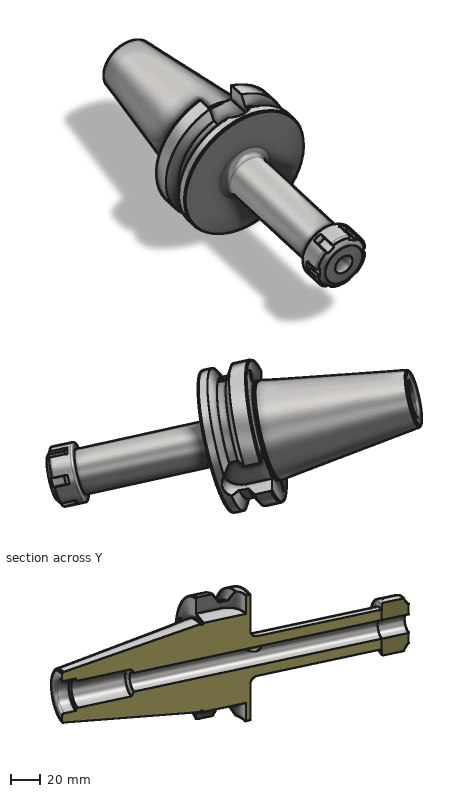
import cadquery as cq
import math

TAPER_LENGTH = 102.2
GAUGE_RADIUS = 35.0
TAPER_SLOPE = 7 / 24 / 2
TAPER_END_RADIUS = GAUGE_RADIUS - TAPER_LENGTH * TAPER_SLOPE
TAPER_END_CHAMFER = 1.0

NECK_LENGTH = 2.5
NECK_RELIEF_WIDTH = 1.5
NECK_LAND = (NECK_LENGTH - NECK_RELIEF_WIDTH) / 2
FLANGE_START = TAPER_LENGTH + NECK_LENGTH
FLANGE_LENGTH = 35.0
FLANGE_END = FLANGE_START + FLANGE_LENGTH
FLANGE_RADIUS = 100.0 / 2
FLANGE_BEVEL_LENGTH = 1.0
FLANGE_BEVEL_DEPTH = 0.5
GROOVE_X = 124.9
GROOVE_ROOT_RADIUS = 42.6
GROOVE_ROOT_HALF_WIDTH = 3.0
GROOVE_RIM_HALF_WIDTH = 7.7

KEY_SLOT_WIDTH = 26.2
KEY_SLOT_END = 136.2
KEY_SLOT_FLOOR_RADIUS = 35.5

STEM_RADIUS = 16.0
STEM_FILLET = 5.1
STEM_END = 236.9

PILOT_RADIUS = 12.5
PILOT_DEPTH = 10.3
PILOT_MOUTH_FILLET = 2.0
THREAD_RADIUS = 10.5
THREAD_CHAMFER = 1.3
THREAD_DEPTH = 51.5
DRILL_POINT_ANGLE = 60
THROUGH_RADIUS = 7.2
DRILL_POINT_END = THREAD_DEPTH + (THREAD_RADIUS - THROUGH_RADIUS) / math.tan(
    math.radians(DRILL_POINT_ANGLE)
)

COOLANT_ANGLES = (20, 200)
COOLANT_HOLE_RADIUS = 3.0
COOLANT_MOUTH_RADIUS = 41.4
COOLANT_TILT = 40
CROSS_HOLE_RADIUS = 2.3

NUT_START = STEM_END
NUT_END = 257.0
NUT_RADIUS = 21.0
NUT_REAR_FILLET = 1.5
NUT_SHOULDER_X = 252.3
NUT_SHOULDER_RADIUS = 1.5
NUT_FACE_RADIUS = 15.5
NUT_FACE_CHAMFER = 0.8

WRENCH_SLOT_WIDTH = 6.5
WRENCH_SLOT_FLOOR_RADIUS = 18.2
WRENCH_SLOT_RAMP = 3.0
LONG_SLOT_START = 240.2
SHORT_SLOT_START = 242.5
LONG_SLOT_ANGLES = (0, 60, 120)
SHORT_SLOT_ANGLES = (180, 240, 300)

X_AXIS = ((0, 0, 0), (1, 0, 0))
CLEARANCE = 2.5


def revolve_about_x(outline):
    return outline.close().revolve(360, *X_AXIS)


def turn_about_x(shape, angle):
    return shape.rotate(*X_AXIS, angle)


def holder_blank():
    """Taper, neck, flange and stem as one turned shape."""
    bevelled_radius = FLANGE_RADIUS - FLANGE_BEVEL_DEPTH
    outline = (
        cq.Workplane("XZ")
        .lineTo(0, TAPER_END_RADIUS - TAPER_END_CHAMFER)
        .lineTo(TAPER_END_CHAMFER, TAPER_END_RADIUS + TAPER_END_CHAMFER * TAPER_SLOPE)
        .lineTo(TAPER_LENGTH, GAUGE_RADIUS)
        .lineTo(TAPER_LENGTH + NECK_LAND, GAUGE_RADIUS)
        .radiusArc((FLANGE_START - NECK_LAND, GAUGE_RADIUS), -NECK_RELIEF_WIDTH / 2)
        .lineTo(FLANGE_START, GAUGE_RADIUS)
        .lineTo(FLANGE_START, bevelled_radius)
        .lineTo(FLANGE_START + FLANGE_BEVEL_LENGTH, FLANGE_RADIUS)
        .lineTo(GROOVE_X - GROOVE_RIM_HALF_WIDTH, FLANGE_RADIUS)
        .lineTo(GROOVE_X - GROOVE_ROOT_HALF_WIDTH, GROOVE_ROOT_RADIUS)
        .lineTo(GROOVE_X + GROOVE_ROOT_HALF_WIDTH, GROOVE_ROOT_RADIUS)
        .lineTo(GROOVE_X + GROOVE_RIM_HALF_WIDTH, FLANGE_RADIUS)
        .lineTo(FLANGE_END - FLANGE_BEVEL_LENGTH, FLANGE_RADIUS)
        .lineTo(FLANGE_END, bevelled_radius)
        .lineTo(FLANGE_END, STEM_RADIUS + STEM_FILLET)
        .radiusArc((FLANGE_END + STEM_FILLET, STEM_RADIUS), -STEM_FILLET)
        .lineTo(STEM_END, STEM_RADIUS)
        .lineTo(STEM_END, 0)
    )
    return revolve_about_x(outline)


def holder_bore():
    """Pilot bore with a rounded mouth, thread bore with a drill point, and through hole."""
    outline = (
        cq.Workplane("XZ")
        .lineTo(0, PILOT_RADIUS + PILOT_MOUTH_FILLET)
        .radiusArc((PILOT_MOUTH_FILLET, PILOT_RADIUS), -PILOT_MOUTH_FILLET)
        .lineTo(PILOT_DEPTH, PILOT_RADIUS)
        .lineTo(PILOT_DEPTH, THREAD_RADIUS + THREAD_CHAMFER)
        .lineTo(PILOT_DEPTH + THREAD_CHAMFER, THREAD_RADIUS)
        .lineTo(THREAD_DEPTH, THREAD_RADIUS)
        .lineTo(DRILL_POINT_END, THROUGH_RADIUS)
        .lineTo(STEM_END, THROUGH_RADIUS)
        .lineTo(STEM_END, 0)
    )
    return revolve_about_x(outline)


def key_slot():
    """Cutter for the slot on the +Z side: open to -X, with a round end."""
    half_width = KEY_SLOT_WIDTH / 2
    return (
        cq.Workplane("XY", origin=(0, 0, KEY_SLOT_FLOOR_RADIUS))
        .moveTo(TAPER_LENGTH, -half_width)
        .lineTo(KEY_SLOT_END - half_width, -half_width)
        .threePointArc((KEY_SLOT_END, 0), (KEY_SLOT_END - half_width, half_width))
        .lineTo(TAPER_LENGTH, half_width)
        .close()
        .extrude(FLANGE_RADIUS)
    )


def coolant_channel():
    """Cutter on the +Y side: an inclined hole to the bore, met by a radial hole from the groove."""
    tilt = math.radians(COOLANT_TILT)
    inward = cq.Vector(math.cos(tilt), -math.sin(tilt), 0)
    mouth = cq.Vector(FLANGE_START, COOLANT_MOUTH_RADIUS, 0)
    length = COOLANT_MOUTH_RADIUS / math.sin(tilt)
    inclined = cq.Solid.makeCylinder(
        COOLANT_HOLE_RADIUS, length + CLEARANCE, mouth - inward * CLEARANCE, inward
    )
    meeting_radius = COOLANT_MOUTH_RADIUS - (GROOVE_X - FLANGE_START) * math.tan(tilt)
    cross = cq.Solid.makeCylinder(
        CROSS_HOLE_RADIUS,
        GROOVE_ROOT_RADIUS + CLEARANCE - meeting_radius,
        cq.Vector(GROOVE_X, meeting_radius, 0),
        cq.Vector(0, 1, 0),
    )
    return cq.Workplane(inclined.fuse(cross))


def make_holder():
    holder = holder_blank().cut(holder_bore())
    for angle in (0, 180):
        holder = holder.cut(turn_about_x(key_slot(), angle))
    for angle in COOLANT_ANGLES:
        holder = holder.cut(turn_about_x(coolant_channel(), angle))
    return holder


def nut_blank():
    """Ring with a rounded rear edge and a rounded shoulder leading to a conical front."""
    outline = (
        cq.Workplane("XZ")
        .moveTo(NUT_START, THROUGH_RADIUS)
        .lineTo(NUT_START, NUT_RADIUS - NUT_REAR_FILLET)
        .radiusArc((NUT_START + NUT_REAR_FILLET, NUT_RADIUS), NUT_REAR_FILLET)
        .lineTo(NUT_SHOULDER_X, NUT_RADIUS)
        .radiusArc(
            (NUT_SHOULDER_X + NUT_SHOULDER_RADIUS, NUT_RADIUS - NUT_SHOULDER_RADIUS),
            NUT_SHOULDER_RADIUS,
        )
        .lineTo(NUT_END - NUT_FACE_CHAMFER, NUT_FACE_RADIUS + NUT_FACE_CHAMFER)
        .lineTo(NUT_END, NUT_FACE_RADIUS)
        .lineTo(NUT_END, THROUGH_RADIUS)
    )
    return revolve_about_x(outline)


def wrench_slot(start):
    """Cutter on the +Y side: flat floor, sloping rear end, open to the front."""
    ramp_rise = NUT_RADIUS - WRENCH_SLOT_FLOOR_RADIUS
    return (
        cq.Workplane("XY")
        .moveTo(start + WRENCH_SLOT_RAMP, WRENCH_SLOT_FLOOR_RADIUS)
        .lineTo(NUT_END, WRENCH_SLOT_FLOOR_RADIUS)
        .lineTo(NUT_END, NUT_RADIUS + ramp_rise)
        .lineTo(start - WRENCH_SLOT_RAMP, NUT_RADIUS + ramp_rise)
        .close()
        .extrude(WRENCH_SLOT_WIDTH / 2, both=True)
    )


def make_nut():
    nut = nut_blank()
    for start, angles in (
        (LONG_SLOT_START, LONG_SLOT_ANGLES),
        (SHORT_SLOT_START, SHORT_SLOT_ANGLES),
    ):
        for angle in angles:
            nut = nut.cut(turn_about_x(wrench_slot(start), angle))
    return nut


holder = make_holder()
nut = make_nut()
result = cq.Compound.makeCompound([holder.val(), nut.val()])